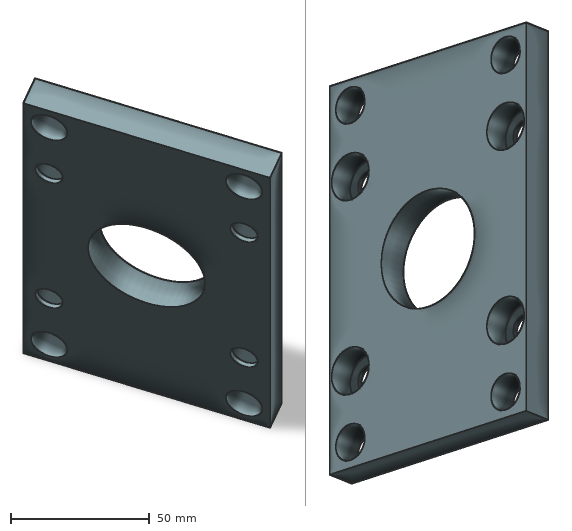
import cadquery as cq

plate_width = 95.0
plate_thickness = 12.0
plate_height = 150.0

bore_diameter = 45.0
corner_hole_diameter = 14.0
inner_hole_diameter = 10.5

counterbore_diameter = 18.0
counterbore_lip = 2.0
counterbore_depth = plate_thickness - counterbore_lip

hole_spacing_x = 75.0
corner_hole_spacing_z = 130.0
inner_hole_spacing_z = 75.0


def hole_centres(body, spacing_z):
    """Place four hole centres on the +Y face, in a rectangle centred on the plate."""
    return (
        body.faces(">Y")
        .workplane(centerOption="CenterOfBoundBox")
        .rect(hole_spacing_x, spacing_z, forConstruction=True)
        .vertices()
    )


plate = cq.Workplane("XY").box(plate_width, plate_thickness, plate_height)

plate = plate.faces(">Y").workplane(centerOption="CenterOfBoundBox").hole(bore_diameter)

plate = hole_centres(plate, corner_hole_spacing_z).hole(corner_hole_diameter)

plate = hole_centres(plate, inner_hole_spacing_z).cboreHole(
    inner_hole_diameter, counterbore_diameter, counterbore_depth
)

result = plate